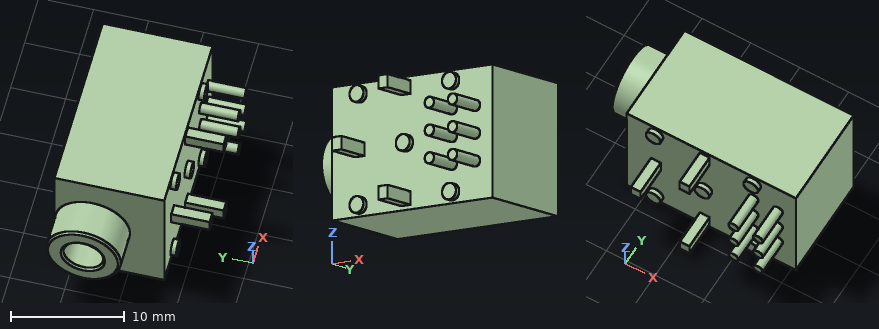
import cadquery as cq

total_length = 20.8
sleeve_length = 3.5
body_length = total_length - sleeve_length
body_depth = 10.0
body_height = 12.0

sleeve_diameter = 6.78
bore_diameter = 3.6
bore_depth = 14.0
edge_chamfer = 0.2
axis_to_back = 3.5
back_y = axis_to_back
mount_y = back_y - body_depth

pin_length = 3.5
pin_diameter = 1.0
blade_width = 1.0
blade_height = 1.2
peg_diameter = 1.5
peg_length = 0.5

pitch = 2.5
row_offset = 2 * pitch
first_column = 3.0
middle_column = first_column + row_offset
last_column = middle_column + row_offset
outer_pin_column = last_column + pitch

peg_places = [(middle_column, 0)] + [
    (x, z) for x in (first_column, last_column) for z in (-row_offset, row_offset)
]
blade_places = [(first_column, 0), (middle_column, -row_offset), (middle_column, row_offset)]
pin_places = [(x, z) for x in (last_column, outer_pin_column) for z in (-pitch, 0, pitch)]


def housing():
    return cq.Workplane("XY").box(body_length, body_depth, body_height).translate(
        (body_length / 2, back_y - body_depth / 2, 0)
    )


def sleeve():
    return (
        cq.Workplane("YZ")
        .circle(sleeve_diameter / 2)
        .extrude(-sleeve_length)
        .faces("<X")
        .chamfer(edge_chamfer)
    )


def plug_bore():
    """Blind bore with a chamfered mouth, cut in from the sleeve end."""
    radius = bore_diameter / 2
    return (
        cq.Workplane("XY", origin=(-sleeve_length, 0, 0))
        .lineTo(0, radius + edge_chamfer)
        .lineTo(edge_chamfer, radius)
        .lineTo(bore_depth, radius)
        .lineTo(bore_depth, 0)
        .close()
        .revolve(360, (0, 0, 0), (1, 0, 0))
    )


def mounting_face(places):
    """Sketch points on the mounting face; extrusion runs outward along -Y."""
    return cq.Workplane("XZ", origin=(0, mount_y, 0)).pushPoints(places)


pegs = mounting_face(peg_places).circle(peg_diameter / 2).extrude(peg_length)
pins = mounting_face(pin_places).circle(pin_diameter / 2).extrude(pin_length)
blades = mounting_face(blade_places).rect(blade_width, blade_height).extrude(pin_length)

result = housing().union(sleeve()).cut(plug_bore())
result = result.union(pegs).union(pins).union(blades)